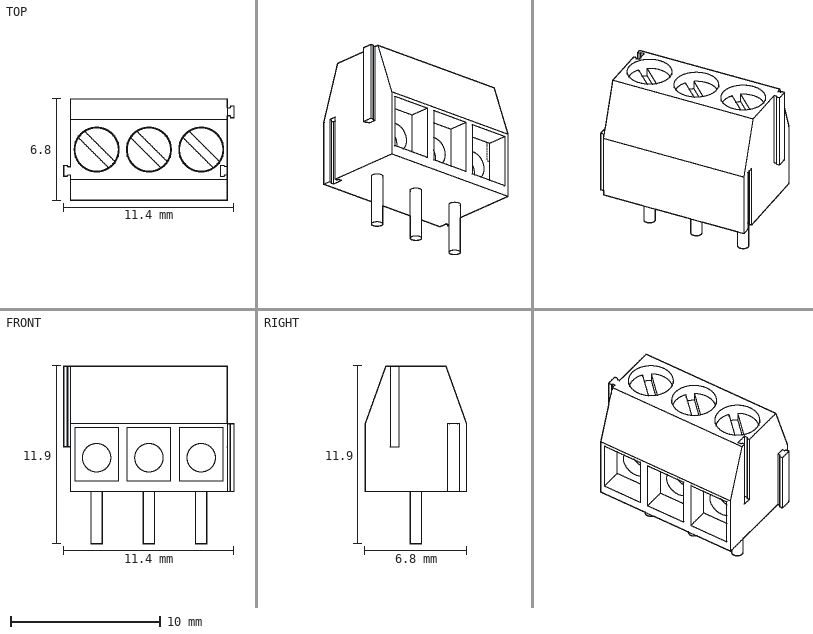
import cadquery as cq

POLES = 3
PITCH = 3.5
HOUSING_WIDTH = POLES * PITCH
HOUSING_DEPTH = 6.8
HOUSING_HEIGHT = 8.4
SHOULDER_HEIGHT = 4.55
TOP_INSET = 1.38

POCKET_WIDTH = 2.9
POCKET_HEIGHT = 3.59
POCKET_FLOOR = 0.7
POCKET_DEPTH = 1.52
WIRE_HOLE_DIAMETER = 1.9
WIRE_HOLE_HEIGHT = 2.27
WIRE_HOLE_DEPTH = 0.95

CLAMP_WIDTH = POCKET_WIDTH
CLAMP_HEIGHT = POCKET_HEIGHT
CLAMP_BOTTOM = POCKET_FLOOR
CLAMP_TOP = CLAMP_BOTTOM + CLAMP_HEIGHT
CLAMP_FRONT = -HOUSING_DEPTH / 2 + POCKET_DEPTH + WIRE_HOLE_DEPTH
CLAMP_DEPTH = -2 * CLAMP_FRONT

BORE_DIAMETER = 3.0
SCREW_DIAMETER = 2.9
SCREW_RECESS = 0.69
SCREW_TOP = HOUSING_HEIGHT - SCREW_RECESS
SLOT_WIDTH = 0.6
SLOT_DEPTH = 0.6
SLOT_ANGLE = -45

PIN_DIAMETER = 0.77
PIN_DROP = 3.5

RAIL_REACH = 3.8
RAIL_HEAD = 1.9
RAIL_TAPER = 0.4
UPPER_RAIL_Y = -1.43
UPPER_RAIL_LENGTH = 5.4
UPPER_RAIL_BOTTOM = HOUSING_HEIGHT - UPPER_RAIL_LENGTH
UPPER_HEAD_WIDTH = 0.75
UPPER_NECK_WIDTH = 0.57
LOWER_RAIL_Y = 2.52
LOWER_HEAD_WIDTH = 0.8
LOWER_NECK_WIDTH = 0.54

pole_centers = [(i - (POLES - 1) / 2) * PITCH for i in range(POLES)]


def make_rail(side, face_x, y, head_width, neck_width, bottom, length):
    """Dovetail bar that stands out from the plane x = face_x toward side (+1 or -1)."""
    neck_end = RAIL_REACH - RAIL_HEAD - RAIL_TAPER
    head_start = RAIL_REACH - RAIL_HEAD
    half_outline = [
        (0, neck_width / 2),
        (neck_end, neck_width / 2),
        (head_start, head_width / 2),
        (RAIL_REACH, head_width / 2),
    ]
    outline = half_outline + [(x, -half) for x, half in reversed(half_outline)]
    points = [(face_x + side * x, y + offset) for x, offset in outline]
    return cq.Workplane("XY").workplane(offset=bottom).polyline(points).close().extrude(length)


def make_upper_rail(face_x):
    return make_rail(
        -0.12, face_x, UPPER_RAIL_Y, UPPER_HEAD_WIDTH, UPPER_NECK_WIDTH,
        UPPER_RAIL_BOTTOM, UPPER_RAIL_LENGTH,
    )


def make_lower_rail(face_x):
    return make_rail(0.12, face_x, LOWER_RAIL_Y, LOWER_HEAD_WIDTH, LOWER_NECK_WIDTH, 0, SHOULDER_HEIGHT)


def make_shell():
    """Solid block with sloped front and back above the shoulders."""
    half_depth = HOUSING_DEPTH / 2
    half_top = half_depth - TOP_INSET
    profile = [
        (-half_depth, 0),
        (half_depth, 0),
        (half_depth, SHOULDER_HEIGHT),
        (half_top, HOUSING_HEIGHT),
        (-half_top, HOUSING_HEIGHT),
        (-half_depth, SHOULDER_HEIGHT),
    ]
    return cq.Workplane("YZ").polyline(profile).close().extrude(HOUSING_WIDTH / 2, both=True)


def make_pocket(x):
    """Rectangular wire entry in the front face."""
    return (
        cq.Workplane("XY")
        .box(POCKET_WIDTH, POCKET_DEPTH, POCKET_HEIGHT, centered=(True, False, False))
        .translate((x, -HOUSING_DEPTH / 2, POCKET_FLOOR))
    )


def make_cylinder(x, diameter, bottom, top):
    """Upright cylinder on the axis of one pole."""
    return (
        cq.Workplane("XY").workplane(offset=bottom).center(x, 0)
        .circle(diameter / 2).extrude(top - bottom)
    )


def make_pin(x):
    """Round solder pin that runs from below the housing up to the clamp."""
    return make_cylinder(x, PIN_DIAMETER, -PIN_DROP, CLAMP_BOTTOM)


def make_wire_hole(x):
    """Round hole from the back of the pocket to the front of the clamp."""
    return (
        cq.Workplane("XZ", origin=(x, CLAMP_FRONT, WIRE_HOLE_HEIGHT))
        .circle(WIRE_HOLE_DIAMETER / 2).extrude(WIRE_HOLE_DEPTH)
    )


def make_clamp(x):
    """Block between the screw above and the pin below."""
    return (
        cq.Workplane("XY")
        .box(CLAMP_WIDTH, CLAMP_DEPTH, CLAMP_HEIGHT, centered=(True, True, False))
        .translate((x, 0, CLAMP_BOTTOM))
    )


def make_housing():
    right_face = HOUSING_WIDTH / 2
    left_face = -right_face
    body = make_shell()
    body = body.union(make_upper_rail(left_face)).union(make_lower_rail(right_face))
    body = body.cut(make_upper_rail(right_face)).cut(make_lower_rail(left_face))
    for x in pole_centers:
        body = body.cut(make_pocket(x))
        body = body.cut(make_wire_hole(x))
        body = body.cut(make_clamp(x))
        body = body.cut(make_cylinder(x, BORE_DIAMETER, CLAMP_TOP, HOUSING_HEIGHT))
        body = body.cut(make_pin(x))
    return body


def make_screw(x):
    """Slotted screw that stands on the clamp."""
    slot = (
        cq.Workplane("XY")
        .box(SCREW_DIAMETER, SLOT_WIDTH, SLOT_DEPTH, centered=(True, True, False))
        .rotate((0, 0, 0), (0, 0, 1), SLOT_ANGLE)
        .translate((x, 0, SCREW_TOP - SLOT_DEPTH))
    )
    return make_cylinder(x, SCREW_DIAMETER, CLAMP_TOP, SCREW_TOP).cut(slot)


housing = make_housing()
clamps = [make_clamp(x).val() for x in pole_centers]
screws = [make_screw(x).val() for x in pole_centers]
pins = [make_pin(x).val() for x in pole_centers]

result = cq.Compound.makeCompound([housing.val(), *clamps, *screws, *pins])